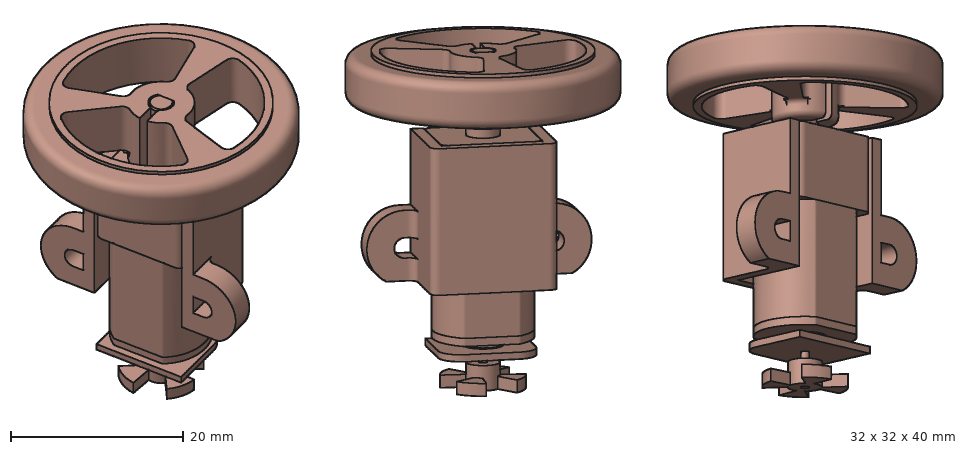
import cadquery as cq
import math

TWIST = -8.0

TOOTH_TOP_Z = 1.5
DISC_HUB_TOP_Z = 3.0
BOARD_BOTTOM_Z = 4.2
BOARD_TOP_Z = 5.05
CAP_BOTTOM_Z = 6.05
CAP_TOP_Z = 7.0
GEARBOX_BOTTOM_Z = 21.0
GEARBOX_TOP_Z = 30.0
BUSHING_TOP_Z = 31.05
WHEEL_HUB_BOTTOM_Z = 31.5
RIM_BOTTOM_Z = 33.5
RIM_TOP_Z = 40.0

TYRE_DIAMETER = 32.0
TYRE_INSET = 0.45
TYRE_EDGE_RADIUS = 1.2

RIM_DIAMETER = 26.0
RIM_INNER_RADIUS = 12.0
WHEEL_HUB_RADIUS = 3.9
WHEEL_HUB_EDGE_RADIUS = 0.7
SPOKE_COUNT = 3
SPOKE_ANGLE = 23.5
WINDOW_CORNER_RADIUS = 1.0
SPOKE_ROOT_RADIUS = 0.6
SPOKE_ROOT_ANGLE = 38.0
HUB_SLOT_WIDTH = 1.0

SHAFT_DIAMETER = 3.0
SHAFT_FLAT_OFFSET = 1.0
SHAFT_CHAMFER = 0.2

GEARBOX_WIDTH = 12.0
GEARBOX_DEPTH = 10.0
GEARBOX_CORNER_RADIUS = 1.0
BUSHING_DIAMETER = 4.0

CAN_DIAMETER = GEARBOX_WIDTH
CAN_DEPTH = GEARBOX_DEPTH
CAN_EDGE_RADIUS = 0.5
CAP_BOSS_DIAMETER = 5.0
CAP_BOSS_CHAMFER = 0.15
REAR_SHAFT_DIAMETER = 1.0

WALL = 1.5
BRACKET_CORNER_RADIUS = 1.0
BRACKET_BOTTOM_Z = 12.6
EAR_CENTRE_X = 8.9
EAR_RADIUS = 4.5
EAR_THICKNESS = 3.0
EAR_HOLE_RADIUS = 1.2
EAR_ROOT_RADIUS = 1.0
EAR_CENTRE_Z = GEARBOX_BOTTOM_Z - EAR_RADIUS

BOARD_WIDTH = 11.6
BOARD_DEPTH = 9.7
BOARD_CORNER_RADIUS = 2.6

DISC_DIAMETER = 10.0
DISC_HUB_DIAMETER = 4.0
TOOTH_COUNT = 4
TOOTH_HALF_ANGLE = 25.0
TOOTH_TIP_RADIUS = 0.8
FIRST_TOOTH_ANGLE = 61.0

FRONT_Y = -GEARBOX_DEPTH / 2


def cylinder(diameter, bottom, top):
    return cq.Workplane("XY").workplane(offset=bottom).circle(diameter / 2).extrude(top - bottom)


def block(width, depth, bottom, top):
    return cq.Workplane("XY").workplane(offset=bottom).rect(width, depth).extrude(top - bottom)


def polar(radius, angle):
    return (radius * math.cos(math.radians(angle)), radius * math.sin(math.radians(angle)))


def make_tyre():
    bottom = RIM_BOTTOM_Z + TYRE_INSET
    top = RIM_TOP_Z - TYRE_INSET
    tyre = cylinder(TYRE_DIAMETER, bottom, top).edges().fillet(TYRE_EDGE_RADIUS)
    return tyre.cut(cylinder(RIM_DIAMETER, bottom, top))


def d_section(bottom, top):
    """A round bar with one flat along its +Y side."""
    kept_depth = SHAFT_DIAMETER / 2 + SHAFT_FLAT_OFFSET
    kept = block(SHAFT_DIAMETER, kept_depth, bottom, top)
    kept = kept.translate((0, SHAFT_FLAT_OFFSET - kept_depth / 2, 0))
    return cylinder(SHAFT_DIAMETER, bottom, top).intersect(kept)


def make_shaft():
    chamfered = cylinder(SHAFT_DIAMETER, BUSHING_TOP_Z, RIM_TOP_Z).faces(">Z").chamfer(SHAFT_CHAMFER)
    return chamfered.intersect(d_section(BUSHING_TOP_Z, RIM_TOP_Z))


def wheel_window(middle_angle):
    """The opening between two spokes: a ring sector with rounded corners."""
    half_span = (360 / SPOKE_COUNT - SPOKE_ANGLE) / 2
    start = middle_angle - half_span
    end = middle_angle + half_span
    return (
        cq.Workplane("XY").workplane(offset=WHEEL_HUB_BOTTOM_Z)
        .moveTo(*polar(WHEEL_HUB_RADIUS, start))
        .lineTo(*polar(RIM_INNER_RADIUS, start))
        .threePointArc(polar(RIM_INNER_RADIUS, middle_angle), polar(RIM_INNER_RADIUS, end))
        .lineTo(*polar(WHEEL_HUB_RADIUS, end))
        .threePointArc(polar(WHEEL_HUB_RADIUS, middle_angle), polar(WHEEL_HUB_RADIUS, start))
        .close()
        .extrude(RIM_TOP_Z - WHEEL_HUB_BOTTOM_Z)
        .edges("|Z").fillet(WINDOW_CORNER_RADIUS)
    )


def spoke_root(middle_angle):
    """The concave fillet between the hub and the underside of one spoke."""
    bottom = RIM_BOTTOM_Z - SPOKE_ROOT_RADIUS
    return (
        cq.Workplane("XZ")
        .moveTo(WHEEL_HUB_RADIUS - SPOKE_ROOT_RADIUS, bottom)
        .lineTo(WHEEL_HUB_RADIUS, bottom)
        .radiusArc((WHEEL_HUB_RADIUS + SPOKE_ROOT_RADIUS, RIM_BOTTOM_Z), SPOKE_ROOT_RADIUS)
        .lineTo(WHEEL_HUB_RADIUS - SPOKE_ROOT_RADIUS, RIM_BOTTOM_Z)
        .close()
        .revolve(SPOKE_ROOT_ANGLE, (0, 0, 0), (0, 1, 0))
        .rotate((0, 0, 0), (0, 0, 1), middle_angle - SPOKE_ROOT_ANGLE / 2)
    )


def make_wheel():
    plate = cylinder(RIM_DIAMETER, RIM_BOTTOM_Z, RIM_TOP_Z)
    for index in range(SPOKE_COUNT):
        plate = plate.cut(wheel_window(-90 + index * 360 / SPOKE_COUNT))
    hub = cylinder(2 * WHEEL_HUB_RADIUS, WHEEL_HUB_BOTTOM_Z, RIM_BOTTOM_Z)
    hub = hub.faces("<Z").edges().fillet(WHEEL_HUB_EDGE_RADIUS)
    for index in range(SPOKE_COUNT):
        hub = hub.union(spoke_root(90 + index * 360 / SPOKE_COUNT))

    slot_length = WHEEL_HUB_RADIUS + 0.4
    slot = block(HUB_SLOT_WIDTH, slot_length, WHEEL_HUB_BOTTOM_Z, RIM_TOP_Z)
    slot = slot.translate((0, -slot_length / 2, 0))
    bore = d_section(WHEEL_HUB_BOTTOM_Z, RIM_TOP_Z)
    plate = plate.cut(slot).cut(bore)
    hub = hub.cut(slot).cut(bore)

    return plate.union(hub, clean=False)


def make_gearbox():
    body = block(GEARBOX_WIDTH, GEARBOX_DEPTH, GEARBOX_BOTTOM_Z, GEARBOX_TOP_Z)
    body = body.edges("|Z").fillet(GEARBOX_CORNER_RADIUS)
    return body.union(cylinder(BUSHING_DIAMETER, GEARBOX_TOP_Z, BUSHING_TOP_Z))


def bracket_ear(side):
    """An ear on the left (-1) or right (+1) arm, with its slotted hole and root fillet."""
    arm_x = GEARBOX_WIDTH / 2 + WALL
    back_y = FRONT_Y + EAR_THICKNESS
    ear_plane = cq.Workplane("XZ", origin=(0, FRONT_Y, 0))
    height = GEARBOX_BOTTOM_Z - BRACKET_BOTTOM_Z
    middle_z = BRACKET_BOTTOM_Z + height / 2

    def slab(start_x, end_x, slab_height, centre_z):
        outline = ear_plane.center((start_x + end_x) / 2, centre_z)
        return outline.rect(end_x - start_x, slab_height).extrude(-EAR_THICKNESS)

    disc = ear_plane.center(EAR_CENTRE_X, EAR_CENTRE_Z).circle(EAR_RADIUS).extrude(-EAR_THICKNESS)
    disc = disc.intersect(slab(arm_x, EAR_CENTRE_X + EAR_RADIUS, height, middle_z))
    ear = slab(arm_x, EAR_CENTRE_X, height, middle_z).union(disc)
    root = (
        cq.Workplane("XY", origin=(0, 0, BRACKET_BOTTOM_Z))
        .moveTo(arm_x, back_y)
        .lineTo(arm_x + EAR_ROOT_RADIUS, back_y)
        .radiusArc((arm_x, back_y + EAR_ROOT_RADIUS), EAR_ROOT_RADIUS)
        .close()
        .extrude(height)
    )
    hole_length = EAR_THICKNESS + EAR_ROOT_RADIUS
    hole_end = ear_plane.center(EAR_CENTRE_X, EAR_CENTRE_Z).circle(EAR_HOLE_RADIUS).extrude(-hole_length)
    hole_start = (
        ear_plane.center((arm_x + EAR_CENTRE_X) / 2, EAR_CENTRE_Z)
        .rect(EAR_CENTRE_X - arm_x, 2 * EAR_HOLE_RADIUS)
        .extrude(-hole_length)
    )
    hole_end = hole_end.intersect(
        cq.Workplane("XY").box(EAR_RADIUS, 4 * hole_length, 4 * EAR_RADIUS, centered=(False, True, True))
        .translate((arm_x, FRONT_Y, EAR_CENTRE_Z)))
    ear = ear.union(root).cut(hole_start).cut(hole_end)
    return ear if side > 0 else ear.mirror("YZ")


def make_bracket():
    outer_width = GEARBOX_WIDTH + 2 * WALL
    outer = block(outer_width, GEARBOX_DEPTH + WALL, BRACKET_BOTTOM_Z, GEARBOX_TOP_Z)
    outer = outer.translate((0, WALL / 2, 0)).edges("|Z and >Y").fillet(BRACKET_CORNER_RADIUS)
    bracket = outer.cut(block(GEARBOX_WIDTH, GEARBOX_DEPTH, BRACKET_BOTTOM_Z, GEARBOX_TOP_Z))
    for side in (-1, 1):
        bracket = bracket.union(bracket_ear(side))
    return bracket


def can_section(bottom, top):
    """A round can with flattened front and back, and softened edges along the flats."""
    section = cylinder(CAN_DIAMETER, bottom, top).intersect(block(CAN_DIAMETER, CAN_DEPTH, bottom, top))
    return section.edges("|Z and (<Y or >Y)").fillet(CAN_EDGE_RADIUS)


def make_end_cap():
    boss = cylinder(CAP_BOSS_DIAMETER, BOARD_TOP_Z, CAP_BOTTOM_Z).faces("<Z").chamfer(CAP_BOSS_CHAMFER)
    return can_section(CAP_BOTTOM_Z, CAP_TOP_Z).union(boss)


rear_shaft = cylinder(REAR_SHAFT_DIAMETER, 0, BOARD_TOP_Z)


def make_board():
    board = block(BOARD_WIDTH, BOARD_DEPTH, BOARD_BOTTOM_Z, BOARD_TOP_Z)
    return board.edges("|Z and >Y").fillet(BOARD_CORNER_RADIUS).cut(rear_shaft)


def make_encoder_disc():
    disc = cylinder(DISC_HUB_DIAMETER, 0, DISC_HUB_TOP_Z)
    reach = DISC_DIAMETER / 2
    half_width = (reach - TOOTH_TIP_RADIUS) * math.tan(math.radians(TOOTH_HALF_ANGLE))
    wedge = (
        cq.Workplane("XY")
        .polyline([(TOOTH_TIP_RADIUS, 0), (reach, -half_width), (reach, half_width)])
        .close()
        .extrude(TOOTH_TOP_Z)
    )
    tooth = wedge.intersect(cylinder(DISC_DIAMETER, 0, TOOTH_TOP_Z))
    for index in range(TOOTH_COUNT):
        angle = FIRST_TOOTH_ANGLE + index * 360 / TOOTH_COUNT
        disc = disc.union(tooth.rotate((0, 0, 0), (0, 0, 1), angle))
    return disc.cut(rear_shaft)


bodies = [
    make_tyre(),
    make_wheel(),
    make_shaft(),
    make_gearbox(),
    make_bracket(),
    can_section(CAP_TOP_Z, GEARBOX_BOTTOM_Z),
    make_end_cap(),
    make_board(),
    rear_shaft,
    make_encoder_disc(),
]
result = cq.Compound.makeCompound(
    [body.rotate((0, 0, 0), (0, 0, 1), TWIST).val() for body in bodies]
)